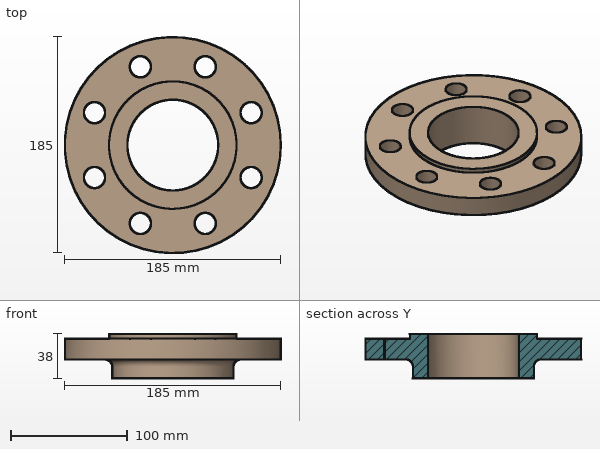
import cadquery as cq

flange_diameter = 185.0
flange_thickness = 18.0
total_height = 38.0

face_diameter = 109.2
face_height = 4.0
hub_diameter = 104.0
hub_fillet = 6.0
bore_diameter = 77.5

bolt_count = 8
bolt_circle_diameter = 145.0
bolt_hole_diameter = 18.0
bolt_spacing_angle = 360 / bolt_count

hub_height = total_height - flange_thickness - face_height


def disc(diameter, base_z, height):
    return cq.Workplane("XY").workplane(offset=base_z).circle(diameter / 2).extrude(height)


def hub_root_fillet():
    """Ring with a concave quarter-round section between hub and flange."""
    hub_radius = hub_diameter / 2
    outer_radius = hub_radius + hub_fillet
    bore_radius = bore_diameter / 2
    mid_offset = hub_fillet * (1 - 0.5**0.5)
    return (
        cq.Workplane("XZ")
        .moveTo(bore_radius, 0)
        .lineTo(outer_radius, 0)
        .threePointArc((hub_radius + mid_offset, -mid_offset), (hub_radius, -hub_fillet))
        .lineTo(bore_radius, -hub_fillet)
        .close()
        .revolve(360, (0, 0, 0), (0, 1, 0))
    )


def bolt_holes():
    return (
        cq.Workplane("XY")
        .polarArray(bolt_circle_diameter / 2, bolt_spacing_angle / 2, 360, bolt_count)
        .circle(bolt_hole_diameter / 2)
        .extrude(flange_thickness)
    )


flange = disc(flange_diameter, 0, flange_thickness)
raised_face = disc(face_diameter, flange_thickness, face_height)
hub = disc(hub_diameter, -hub_height, hub_height)
bore = disc(bore_diameter, -hub_height, total_height)

body = flange.union(raised_face).union(hub).union(hub_root_fillet())
result = body.cut(bore).cut(bolt_holes())